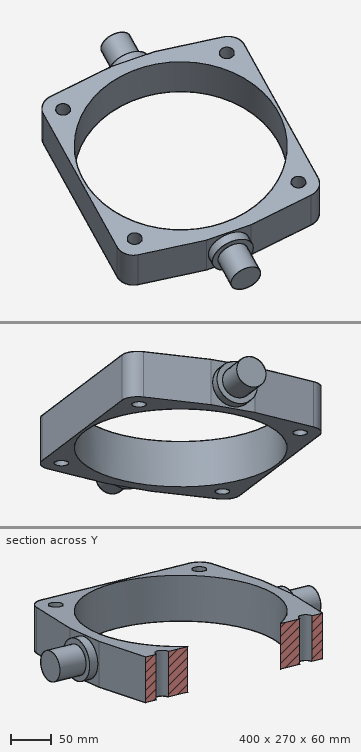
import cadquery as cq

frame_height = 60.0
frame_depth = 270.0
frame_waist_width = 295.0
frame_end_width = 264.0
pad_length = 60.0
corner_radius = 22.0
bore_diameter = 262.0

hole_diameter = 18.0
hole_spacing = 220.0

overall_width = 400.0
collar_span = 320.0
collar_diameter = 55.0
trunnion_diameter = 40.0


def make_frame():
    """Eight-sided plate with rounded corners, centred on the origin."""
    end_x = frame_end_width / 2
    end_y = frame_depth / 2
    waist_x = frame_waist_width / 2
    pad_y = pad_length / 2
    outline = [
        (end_x, end_y), (-end_x, end_y),
        (-waist_x, pad_y), (-waist_x, -pad_y),
        (-end_x, -end_y), (end_x, -end_y),
        (waist_x, -pad_y), (waist_x, pad_y),
    ]
    plate = (
        cq.Workplane("XY")
        .polyline(outline)
        .close()
        .extrude(frame_height / 2, both=True)
    )
    return plate.edges("|Z and (>Y or <Y)").fillet(corner_radius)


def make_shaft(diameter, length):
    """Round bar along X, centred on the origin."""
    return cq.Workplane("YZ").circle(diameter / 2).extrude(length / 2, both=True)


def make_bore():
    """Central opening, which also trims the shafts flush with the ring."""
    return cq.Workplane("XY").circle(bore_diameter / 2).extrude(frame_height / 2, both=True)


def make_mounting_holes():
    """Four through holes, one near each corner."""
    return (
        cq.Workplane("XY")
        .rect(hole_spacing, hole_spacing, forConstruction=True)
        .vertices()
        .circle(hole_diameter / 2)
        .extrude(frame_height / 2, both=True)
    )


collars = make_shaft(collar_diameter, collar_span)
trunnions = make_shaft(trunnion_diameter, overall_width)

result = (
    make_frame()
    .union(collars)
    .union(trunnions)
    .cut(make_bore())
    .cut(make_mounting_holes())
)